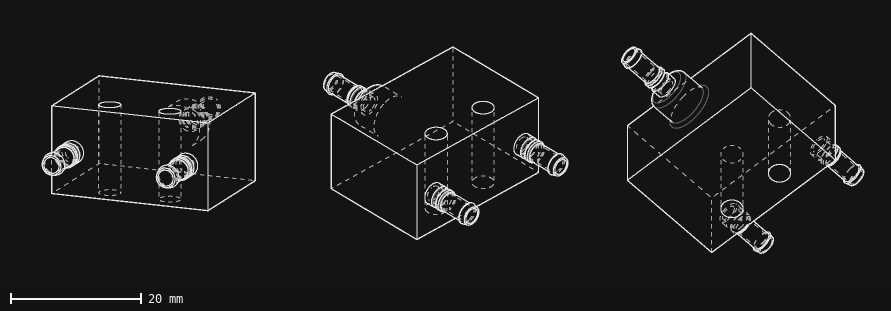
import cadquery as cq

block_width = 26.0
block_depth = 19.0
block_height = 14.0

mount_hole_diameter = 3.4
mount_hole_spacing = 10.0
mount_hole_setback = 4.0

boss_radius = 7.0 / 2
boss_length = 5.05
boss_round = 0.57

spigot_spacing = 19.0
collar_radius = 3.6 / 2
neck_radius = 3.2 / 2
tube_radius = 3.1 / 2
bore_radius = 2.5 / 2
collar_end = 1.48
ring_start = 2.38
ring_end = 2.95
neck_end = 3.3
barb_start = 7.42
barb_crest = 7.5
spigot_length = 8.5
groove_fillet = 0.102
lip_length = 0.12


def make_spigot():
    """Barbed spigot along +Y; its bore stops at the mounting face, at the origin."""
    return (
        cq.Workplane("XY")
        .moveTo(bore_radius, 0)
        .lineTo(collar_radius, 0)
        .lineTo(collar_radius, collar_end)
        .lineTo(neck_radius + groove_fillet, collar_end)
        .radiusArc((neck_radius, collar_end + groove_fillet), groove_fillet)
        .lineTo(neck_radius, ring_start - groove_fillet)
        .radiusArc((neck_radius + groove_fillet, ring_start), groove_fillet)
        .lineTo(collar_radius, ring_start)
        .lineTo(collar_radius, ring_end)
        .lineTo(neck_radius + groove_fillet, ring_end)
        .radiusArc((neck_radius, ring_end + groove_fillet), groove_fillet)
        .lineTo(neck_radius, neck_end)
        .lineTo(tube_radius, neck_end)
        .lineTo(tube_radius, barb_start)
        .lineTo(collar_radius, barb_crest)
        .lineTo(tube_radius, spigot_length - lip_length)
        .lineTo(tube_radius, spigot_length)
        .lineTo(bore_radius, spigot_length)
        .close()
        .revolve(360, (0, 0), (0, 1))
    )


def make_boss():
    """Boss along +Y with a rounded outer edge and a concave flare at its root."""
    return (
        cq.Workplane("XY")
        .lineTo(boss_radius + boss_round, 0)
        .radiusArc((boss_radius, boss_round), boss_round)
        .lineTo(boss_radius, boss_length - boss_round)
        .radiusArc((boss_radius - boss_round, boss_length), -boss_round)
        .lineTo(0, boss_length)
        .close()
        .revolve(360, (0, 0), (0, 1))
    )


block = cq.Workplane("XY").box(block_width, block_depth, block_height, centered=(True, False, True))
mount_holes = (
    cq.Workplane("XY")
    .pushPoints([(side * mount_hole_spacing / 2, mount_hole_setback) for side in (-1, 1)])
    .circle(mount_hole_diameter / 2)
    .extrude(block_height, both=True)
)
result = block.cut(mount_holes)

result = result.union(make_boss().translate((0, block_depth, 0)))
result = result.union(make_spigot().translate((0, block_depth + boss_length, 0)))

front_spigot = make_spigot().rotate((0, 0, 0), (0, 0, 1), 180)
for side in (-1, 1):
    result = result.union(front_spigot.translate((side * spigot_spacing / 2, 0, 0)))